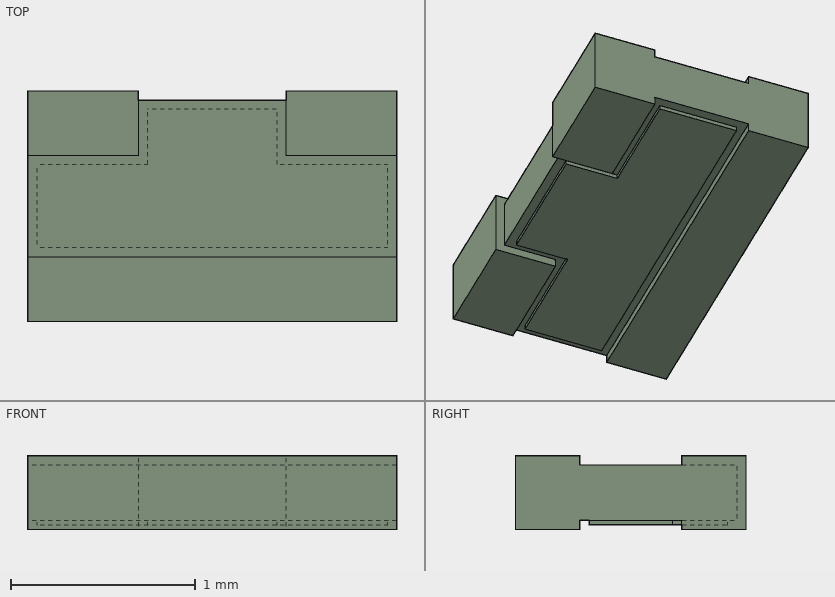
import cadquery as cq

LENGTH = 2.0
WIDTH = 1.25
HEIGHT = 0.4

METAL = 0.05
TERMINAL_DEPTH = 0.35
SMALL_TERMINAL_LENGTH = 0.6

COATING = 0.025
CLEARANCE = 0.05

RIGHT = LENGTH / 2
LEFT = -RIGHT
BACK = WIDTH / 2
FRONT = -BACK
SUBSTRATE_BACK = BACK - METAL
SUBSTRATE_FRONT = FRONT + METAL
SUBSTRATE_BOTTOM = METAL
SUBSTRATE_TOP = HEIGHT - METAL
REAR_TERMINAL_FRONT = BACK - TERMINAL_DEPTH
FRONT_TERMINAL_BACK = FRONT + TERMINAL_DEPTH
REAR_GAP = LENGTH - 2 * SMALL_TERMINAL_LENGTH


def block(x_range, y_range, z_range):
    """Box spanning the given (low, high) ranges."""
    lows, highs = zip(x_range, y_range, z_range)
    size = [high - low for low, high in zip(lows, highs)]
    return cq.Workplane("XY").box(*size, centered=False).translate(lows)


def make_substrate():
    return block(
        (LEFT, RIGHT),
        (SUBSTRATE_FRONT, SUBSTRATE_BACK),
        (SUBSTRATE_BOTTOM, SUBSTRATE_TOP),
    )


def make_terminals():
    """One full-length terminal in front and a short one at each rear corner."""
    full_height = (0, HEIGHT)
    rear_depth = (REAR_TERMINAL_FRONT, BACK)
    front = block((LEFT, RIGHT), (FRONT, FRONT_TERMINAL_BACK), full_height)
    rear_left = block((LEFT, LEFT + SMALL_TERMINAL_LENGTH), rear_depth, full_height)
    rear_right = block((RIGHT - SMALL_TERMINAL_LENGTH, RIGHT), rear_depth, full_height)
    return front.union(rear_left).union(rear_right)


def make_coating():
    """T-shaped layer: a wide strip between the terminals, with a tongue in the rear gap."""
    thickness = (SUBSTRATE_BOTTOM - COATING, SUBSTRATE_BOTTOM)
    strip_front = FRONT_TERMINAL_BACK + CLEARANCE
    strip_back = REAR_TERMINAL_FRONT - CLEARANCE
    tongue_half = REAR_GAP / 2 - CLEARANCE
    strip = block((LEFT + CLEARANCE, RIGHT - CLEARANCE), (strip_front, strip_back), thickness)
    tongue = block((-tongue_half, tongue_half), (strip_front, SUBSTRATE_BACK - CLEARANCE), thickness)
    return strip.union(tongue)


result = make_substrate().union(make_terminals()).union(make_coating()).clean()